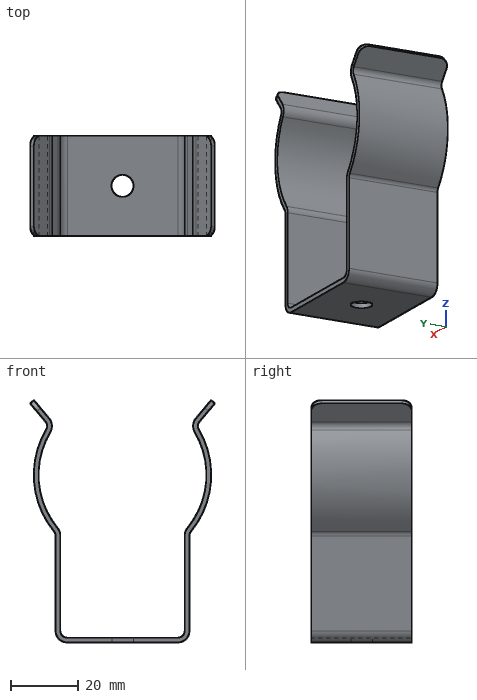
import cadquery as cq
import math


thickness = 1.5
strip_width = 30.0
inside_bend_radius = 2.0
outside_bend_radius = inside_bend_radius + thickness

base_width = 40.0
clip_height = 72.29
tube_radius = 25.0
tube_axis_height = 50.0
neck_opening = 42.0
lip_angle = 40.0
lip_corner_radius = 3.0
mounting_hole_diameter = 6.5

base_bend = (
    base_width / 2 - outside_bend_radius,
    outside_bend_radius,
)
tube_axis = (0.0, tube_axis_height)
tangent_distance = tube_radius + outside_bend_radius
shoulder_x = base_width / 2 - thickness + outside_bend_radius
shoulder_drop = math.sqrt(tangent_distance**2 - shoulder_x**2)
shoulder_bend = (shoulder_x, tube_axis_height - shoulder_drop)
neck_x = neck_opening / 2 + outside_bend_radius
neck_rise = math.sqrt(tangent_distance**2 - neck_x**2)
neck_bend = (neck_x, tube_axis_height + neck_rise)

shoulder_direction = -math.degrees(math.atan2(shoulder_drop, shoulder_x))
neck_direction = math.degrees(math.atan2(neck_rise, neck_x))
lip_direction = 90.0 - lip_angle
lip_normal = 180.0 - lip_angle

lip_start_height = neck_bend[1] + outside_bend_radius * math.sin(math.radians(lip_normal))
lip_length = (clip_height - lip_start_height) / math.sin(math.radians(lip_direction))


def polar(center, radius, direction):
    """Point (x, z) at a distance and direction from a center."""
    angle = math.radians(direction)
    return (
        center[0] + radius * math.cos(angle),
        center[1] + radius * math.sin(angle),
    )


def line(start, end):
    """Straight edge between two (x, z) points in the XZ plane."""
    return cq.Edge.makeLine(cq.Vector(start[0], 0, start[1]), cq.Vector(end[0], 0, end[1]))


def arc(center, radius, first, last):
    """Circular edge about a center, running between two directions."""
    points = [polar(center, radius, d) for d in (first, (first + last) / 2, last)]
    return cq.Edge.makeThreePointArc(*[cq.Vector(x, 0, z) for x, z in points])


def sheet_face(offset):
    """Edges, first point and last point of the sheet face this far outside the inner face."""
    base_radius = inside_bend_radius + offset
    arc_radius = tube_radius + offset
    reverse_radius = outside_bend_radius - offset

    floor_middle = (0.0, thickness - offset)
    lip_start = polar(neck_bend, reverse_radius, lip_normal)
    lip_tip = polar(lip_start, lip_length, lip_direction)
    edges = [
        line(floor_middle, polar(base_bend, base_radius, -90)),
        arc(base_bend, base_radius, -90, 0),
        line(polar(base_bend, base_radius, 0), polar(shoulder_bend, reverse_radius, 180)),
        arc(shoulder_bend, reverse_radius, 180, 180 + shoulder_direction),
        arc(tube_axis, arc_radius, shoulder_direction, neck_direction),
        arc(neck_bend, reverse_radius, 180 + neck_direction, lip_normal),
        line(lip_start, lip_tip),
    ]
    return edges, floor_middle, lip_tip


def make_half_clip():
    """Right-hand half of the bent strip, with the lip corners rounded."""
    inner_edges, inner_floor, inner_tip = sheet_face(0.0)
    outer_edges, outer_floor, outer_tip = sheet_face(thickness)
    end_edges = [line(inner_tip, outer_tip), line(outer_floor, inner_floor)]
    outline = cq.Wire.combine(inner_edges + outer_edges + end_edges)[0]

    half = (
        cq.Workplane("XZ")
        .add(outline)
        .toPending()
        .extrude(strip_width / 2, both=True)
    )
    tip_x, tip_z = polar((0.0, 0.0), 1.0, lip_direction)
    tip_face = cq.selectors.DirectionMinMaxSelector(cq.Vector(tip_x, 0, tip_z), True)
    return half.faces(tip_face).edges("not |Y").fillet(lip_corner_radius)


def make_mounting_hole():
    """Cutter for the screw hole through the middle of the floor."""
    return cq.Workplane("XY").circle(mounting_hole_diameter / 2).extrude(thickness)


half_clip = make_half_clip()
result = half_clip.union(half_clip.mirror("YZ")).clean().cut(make_mounting_hole())